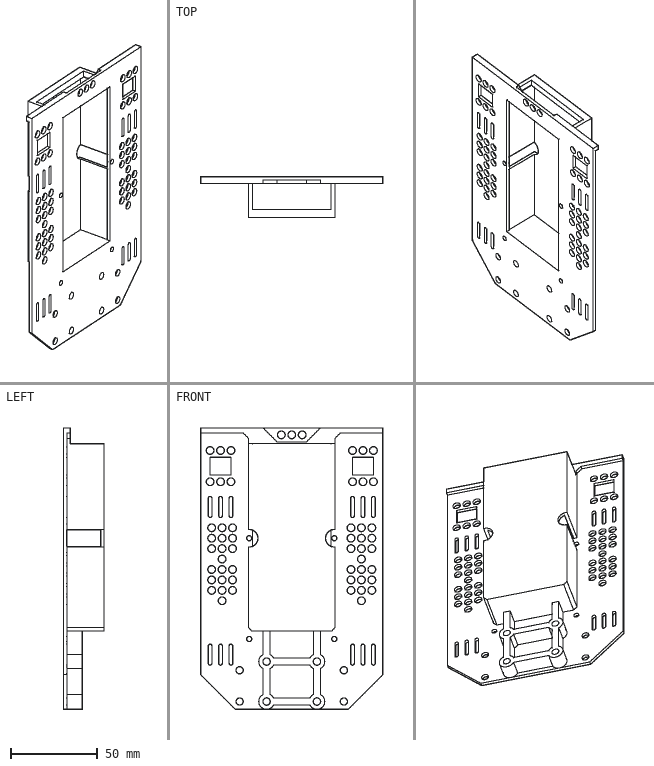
import cadquery as cq

PLATE_WIDTH = 105.0
PLATE_HEIGHT = 162.0
PLATE_THICKNESS = 2.0
CORNER_CUT = 20.0

RIM_THICKNESS = 4.0
RIM_HEIGHT = 3.0
RIM_CORNER = 3.0

RECESS_TOP_WIDTH = 33.0
RECESS_BOTTOM_WIDTH = 17.0
RECESS_HEIGHT = 8.0

BOX_WIDTH = 49.8
BOX_DEPTH = 23.5
BOX_BOTTOM = 45.0
BOX_TOP = 153.0
BOX_BOTTOM_CHAMFER = 2.0
WALL = 2.0
MOUTH_WIDTH = 45.0
MOUTH_LIP = 2.5
LIP_HEIGHT = 4.0

NOTCH_DIAMETER = 10.0
NOTCH_Z = 98.5

FRAME_DEPTH = 11.0
FRAME_RIB = 4.0
BOSS_DIAMETER = 9.0
BOSS_HOLE_DIAMETER = 4.1
BOSS_SPACING_X = 29.0
BOSS_LOWER_Z = BOSS_DIAMETER / 2
BOSS_SPACING_Z = 23.0

VENT_DIAMETER = 4.3
VENT_PITCH = 6.0
TOP_VENT_Z = 158.0
MOUNT_DIAMETER = 4.0
MOUNT_X = 30.0
MOUNT_LOWER_Z = 4.5
MOUNT_SPACING_Z = 18.0
PIN_DIAMETER = 2.8
PIN_X = 24.5
PIN_LOWER_Z = 40.5

GRID_X = 40.1
GRID_TOP_Z = 104.5
GRID_ROW_COLUMNS = (3, 3, 3, 1, 3, 3, 3, 1)

PORT_X = 41.0
PORT_Z = 140.0
PORT_WIDTH = 12.0
PORT_HEIGHT = 10.0
PORT_VENT_OFFSET = 9.0
SLOT_WIDTH = 2.0
SLOT_LENGTH = 12.0
SLOT_CENTERS_Z = (116.5, 31.5)

SIDES = (-1, 1)


def front_sketch(start_depth=0.0):
    """Workplane facing -Y at a depth in front of the plate's back face; local axes are X and Z."""
    return cq.Workplane("XZ", origin=(0, -start_depth, 0))


def block(width, bottom, top, start_depth, end_depth):
    """Block centred on x = 0 between two heights and two depths."""
    return (
        front_sketch(start_depth)
        .center(0, (bottom + top) / 2)
        .rect(width, top - bottom)
        .extrude(end_depth - start_depth)
    )


def round_cutters(points, diameter, depth):
    return front_sketch().pushPoints(points).circle(diameter / 2).extrude(depth)


def row_points(center_x, z, count):
    first_x = center_x - VENT_PITCH * (count - 1) / 2
    return [(first_x + i * VENT_PITCH, z) for i in range(count)]


def make_plate():
    plate = block(PLATE_WIDTH, 0, PLATE_HEIGHT, 0, PLATE_THICKNESS)
    return plate.edges("|Y and <Z").chamfer(CORNER_CUT)


def make_rim():
    half_plate = PLATE_WIDTH / 2
    half_box = BOX_WIDTH / 2
    rim_bottom = PLATE_HEIGHT - RIM_HEIGHT
    return (
        front_sketch()
        .moveTo(-half_plate, PLATE_HEIGHT)
        .lineTo(half_plate, PLATE_HEIGHT)
        .lineTo(half_plate, rim_bottom)
        .lineTo(half_box + RIM_CORNER, rim_bottom)
        .lineTo(half_box, rim_bottom - RIM_CORNER)
        .lineTo(half_box, BOX_BOTTOM + BOX_BOTTOM_CHAMFER)
        .lineTo(-half_box, BOX_BOTTOM + BOX_BOTTOM_CHAMFER)
        .lineTo(-half_box, rim_bottom - RIM_CORNER)
        .lineTo(-half_box - RIM_CORNER, rim_bottom)
        .lineTo(-half_plate, rim_bottom)
        .close()
        .extrude(RIM_THICKNESS)
    )


def make_recess():
    recess_bottom = PLATE_HEIGHT - RECESS_HEIGHT
    return (
        front_sketch(PLATE_THICKNESS)
        .moveTo(-RECESS_TOP_WIDTH / 2, PLATE_HEIGHT)
        .lineTo(RECESS_TOP_WIDTH / 2, PLATE_HEIGHT)
        .lineTo(RECESS_BOTTOM_WIDTH / 2, recess_bottom)
        .lineTo(-RECESS_BOTTOM_WIDTH / 2, recess_bottom)
        .close()
        .extrude(RIM_THICKNESS - PLATE_THICKNESS)
    )


def make_box():
    box = block(BOX_WIDTH, BOX_BOTTOM, BOX_TOP, 0, BOX_DEPTH)
    return box.edges("|Y and <Z").chamfer(BOX_BOTTOM_CHAMFER)


def make_box_cavity():
    """Chamber inside the box, the narrower mouth above it and the window behind it."""
    floor = BOX_BOTTOM + WALL
    lip_bottom = BOX_TOP - LIP_HEIGHT
    inner_front = BOX_DEPTH - WALL
    chamber = block(BOX_WIDTH - 2 * WALL, floor, lip_bottom, PLATE_THICKNESS, inner_front)
    mouth = block(MOUTH_WIDTH, lip_bottom, BOX_TOP, RIM_THICKNESS, inner_front - MOUTH_LIP)
    window = block(MOUTH_WIDTH, floor, lip_bottom, 0, PLATE_THICKNESS)
    return chamber.union(mouth).union(window)


def make_notches():
    return (
        front_sketch(PLATE_THICKNESS)
        .pushPoints([(side * PIN_X, NOTCH_Z) for side in SIDES])
        .circle(NOTCH_DIAMETER / 2)
        .extrude(BOX_DEPTH - PLATE_THICKNESS)
    )


def boss_points():
    return [
        (side * BOSS_SPACING_X / 2, BOSS_LOWER_Z + level * BOSS_SPACING_Z)
        for side in SIDES
        for level in (0, 1)
    ]


def make_frame():
    """Four bosses joined by ribs, the two upright ribs running up to the box."""
    frame = round_cutters(boss_points(), BOSS_DIAMETER, FRAME_DEPTH)
    for level in (0, 1):
        z = BOSS_LOWER_Z + level * BOSS_SPACING_Z
        frame = frame.union(
            block(BOSS_SPACING_X, z - FRAME_RIB / 2, z + FRAME_RIB / 2, 0, FRAME_DEPTH)
        )
    upright = block(FRAME_RIB, BOSS_LOWER_Z, BOX_BOTTOM, 0, FRAME_DEPTH)
    for side in SIDES:
        frame = frame.union(upright.translate((side * BOSS_SPACING_X / 2, 0, 0)))
    return frame


def make_vents():
    points = row_points(0, TOP_VENT_Z, 3)
    for side in SIDES:
        for row, columns in enumerate(GRID_ROW_COLUMNS):
            points += row_points(side * GRID_X, GRID_TOP_Z - row * VENT_PITCH, columns)
        for offset in (-PORT_VENT_OFFSET, PORT_VENT_OFFSET):
            points += row_points(side * PORT_X, PORT_Z + offset, 3)
    return round_cutters(points, VENT_DIAMETER, RIM_THICKNESS)


def make_ports():
    centers = [(side * PORT_X, PORT_Z) for side in SIDES]
    return front_sketch().pushPoints(centers).rect(PORT_WIDTH, PORT_HEIGHT).extrude(PLATE_THICKNESS)


def make_slots():
    centers = []
    for side in SIDES:
        for z in SLOT_CENTERS_Z:
            centers += row_points(side * PORT_X, z, 3)
    return (
        front_sketch()
        .pushPoints(centers)
        .slot2D(SLOT_LENGTH, SLOT_WIDTH, 90)
        .extrude(PLATE_THICKNESS)
    )


def make_mount_holes():
    points = [
        (side * MOUNT_X, MOUNT_LOWER_Z + level * MOUNT_SPACING_Z)
        for side in SIDES
        for level in (0, 1)
    ]
    return round_cutters(points, MOUNT_DIAMETER, PLATE_THICKNESS)


def make_pin_holes():
    points = [(side * PIN_X, z) for side in SIDES for z in (PIN_LOWER_Z, NOTCH_Z)]
    return round_cutters(points, PIN_DIAMETER, PLATE_THICKNESS)


result = (
    make_plate()
    .union(make_rim())
    .union(make_box())
    .union(make_frame())
    .cut(make_recess())
    .cut(make_box_cavity())
    .cut(make_notches())
    .cut(round_cutters(boss_points(), BOSS_HOLE_DIAMETER, FRAME_DEPTH))
    .cut(make_vents())
    .cut(make_ports())
    .cut(make_slots())
    .cut(make_mount_holes())
    .cut(make_pin_holes())
)